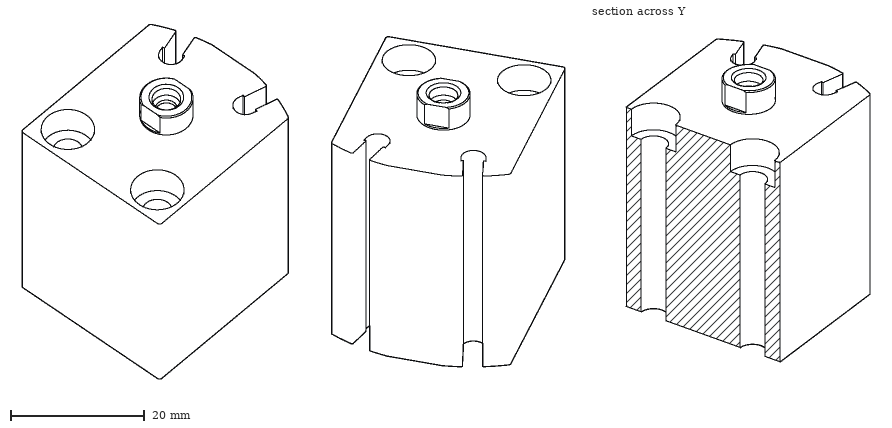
import cadquery as cq
import math

WIDTH = 28.0
BACK_Y = 15.0
FRONT_Y = -17.0
TOTAL_HEIGHT = 39.0
ROD_PROJECTION = 4.0
BLOCK_HEIGHT = TOTAL_HEIGHT - ROD_PROJECTION
CORNER_RADIUS = 0.45

CROWN_RADIUS = 30.0
CROWN_FLAT_HALF = 4.3
CROWN_CENTRE_Y = BACK_Y - math.sqrt(CROWN_RADIUS**2 - CROWN_FLAT_HALF**2)

SLOT_X = 7.5
SLOT_Y = 9.35
SLOT_TILT = 15.0
SLOT_WIDTH = 3.0
SLOT_INNER_WIDTH = 3.75
SLOT_SHOULDER = 0.8
SLOT_LENGTH = 9.75
SLOT_LIP_RADIUS = 0.25

MOUNT_X = 9.0
MOUNT_Y = -12.0
MOUNT_DIAMETER = 4.5
MOUNT_BORE_DIAMETER = 8.0
MOUNT_BORE_DEPTH = 4.68

ROD_DIAMETER = 8.0
ROD_SEAT_DEPTH = 7.8
ROD_CHAMFER = 0.2
FLATS_WIDTH = 7.02
FLATS_LENGTH = 3.7

MOUTH_DIAMETER = 5.2
THREAD_DIAMETER = 4.3
THREAD_DEPTH = 1.95
DRILL_DIAMETER = 3.25
DRILL_DEPTH = 3.12
STEP_ANGLE = 90.0
DRILL_POINT_ANGLE = 118.0


def crown_point(x):
    """Point of the crown arc at the given x."""
    return x, CROWN_CENTRE_Y + math.sqrt(CROWN_RADIUS**2 - x**2)


def make_outline_prism():
    """Rectangular block with a crowned back and rounded corners."""
    half_width = WIDTH / 2
    arc_middle = (half_width + CROWN_FLAT_HALF) / 2
    return (
        cq.Workplane("XY")
        .moveTo(-half_width, FRONT_Y)
        .lineTo(half_width, FRONT_Y)
        .lineTo(*crown_point(half_width))
        .threePointArc(crown_point(arc_middle), crown_point(CROWN_FLAT_HALF))
        .lineTo(*crown_point(-CROWN_FLAT_HALF))
        .threePointArc(crown_point(-arc_middle), crown_point(-half_width))
        .close()
        .extrude(BLOCK_HEIGHT)
        .edges("|Z and (<Y or <X or >X)")
        .fillet(CORNER_RADIUS)
    )


def make_slot_cutter(side):
    """T-slot: a round-bottomed channel up to a shoulder, with a narrower mouth."""
    radius = SLOT_INNER_WIDTH / 2
    mouth_half = SLOT_WIDTH / 2
    return (
        cq.Workplane("XY")
        .moveTo(-mouth_half, SLOT_LENGTH)
        .lineTo(-mouth_half, SLOT_SHOULDER)
        .lineTo(-radius, SLOT_SHOULDER)
        .lineTo(-radius, 0)
        .threePointArc((0, -radius), (radius, 0))
        .lineTo(radius, SLOT_SHOULDER)
        .lineTo(mouth_half, SLOT_SHOULDER)
        .lineTo(mouth_half, SLOT_LENGTH)
        .close()
        .extrude(BLOCK_HEIGHT)
        .rotate((0, 0, 0), (0, 0, 1), -side * SLOT_TILT)
        .translate((side * SLOT_X, SLOT_Y, 0))
    )


def lip_selector(side):
    """Box around the two upright edges where a slot breaks through the crown."""
    tilt = math.radians(SLOT_TILT)
    mouth_distance = (crown_point(SLOT_X)[1] - SLOT_Y) / math.cos(tilt)
    mouth_x = side * (SLOT_X + mouth_distance * math.sin(tilt))
    mouth_y = crown_point(mouth_x)[1]
    return cq.selectors.BoxSelector(
        (mouth_x - SLOT_WIDTH, mouth_y - SLOT_WIDTH, 0),
        (mouth_x + SLOT_WIDTH, mouth_y + SLOT_WIDTH, BLOCK_HEIGHT),
    )


def make_block():
    block = make_outline_prism()
    for side in (-1, 1):
        block = block.cut(make_slot_cutter(side))
        block = block.edges("|Z").edges(lip_selector(side)).fillet(SLOT_LIP_RADIUS)
    block = (
        block.faces(">Z")
        .workplane(origin=(0, 0, BLOCK_HEIGHT))
        .pushPoints([(-MOUNT_X, MOUNT_Y), (MOUNT_X, MOUNT_Y)])
        .cboreHole(MOUNT_DIAMETER, MOUNT_BORE_DIAMETER, MOUNT_BORE_DEPTH)
    )
    rod_seat = (
        cq.Workplane("XY", origin=(0, 0, BLOCK_HEIGHT - ROD_SEAT_DEPTH))
        .circle(ROD_DIAMETER / 2)
        .extrude(ROD_SEAT_DEPTH)
    )
    return block.cut(rod_seat)


def make_rod_hole():
    """Countersunk, stepped blind hole with a conical bottom, revolved about Z."""
    mouth_radius = MOUTH_DIAMETER / 2
    thread_radius = THREAD_DIAMETER / 2
    drill_radius = DRILL_DIAMETER / 2
    countersink_depth = mouth_radius - thread_radius
    point_slope = math.tan(math.radians(DRILL_POINT_ANGLE / 2))
    step_depth = (thread_radius - drill_radius) / math.tan(math.radians(STEP_ANGLE / 2))
    point_depth = drill_radius / point_slope
    return (
        cq.Workplane("XZ", origin=(0, 0, TOTAL_HEIGHT))
        .moveTo(0, 0)
        .lineTo(mouth_radius, 0)
        .lineTo(thread_radius, -countersink_depth)
        .lineTo(thread_radius, -THREAD_DEPTH)
        .lineTo(drill_radius, -THREAD_DEPTH - step_depth)
        .lineTo(drill_radius, -DRILL_DEPTH)
        .lineTo(0, -DRILL_DEPTH - point_depth)
        .close()
        .revolve(360, (0, 0, 0), (0, 1, 0))
    )


def make_rod():
    """Round rod with a pair of wrench flats facing front and back."""
    rod = (
        cq.Workplane("XY", origin=(0, 0, BLOCK_HEIGHT - ROD_SEAT_DEPTH))
        .circle(ROD_DIAMETER / 2)
        .extrude(ROD_SEAT_DEPTH + ROD_PROJECTION)
        .faces(">Z")
        .chamfer(ROD_CHAMFER)
    )
    flats_cutter = (
        cq.Workplane("XY", origin=(0, 0, TOTAL_HEIGHT - FLATS_LENGTH))
        .rect(2 * ROD_DIAMETER, 2 * ROD_DIAMETER)
        .rect(2 * ROD_DIAMETER, FLATS_WIDTH)
        .extrude(FLATS_LENGTH)
    )
    return rod.cut(flats_cutter).cut(make_rod_hole())


block = make_block()
rod = make_rod()
result = cq.Compound.makeCompound([block.val(), rod.val()])